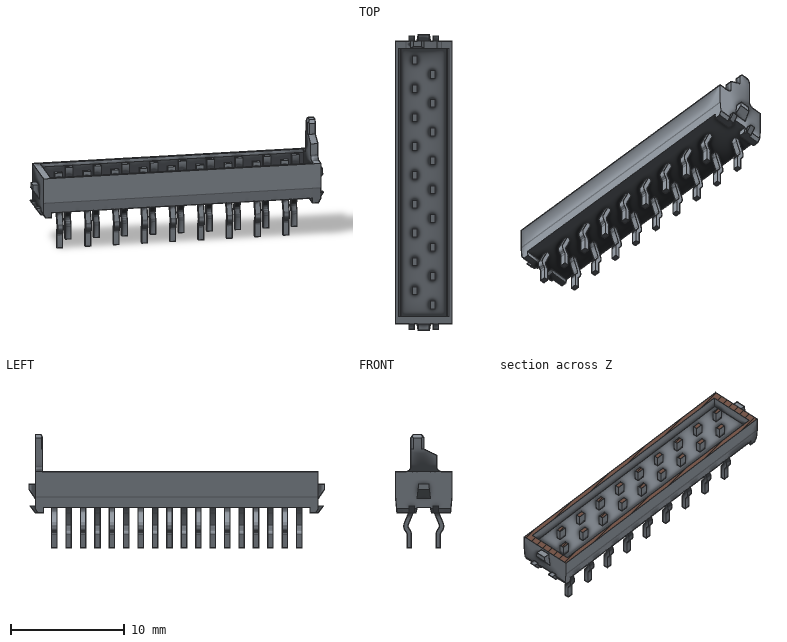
import cadquery as cq


overall_length = 26.05
body_width = 5.0
body_length = 24.92
body_height = 3.65
half_width = body_width / 2
half_length = body_length / 2
draft_height = 1.4
draft_inset = 0.13
end_wall = 0.65
end_bevel_height = 0.4
end_bevel_depth = 0.2

floor_height = 1.8
floor_width = 4.0
cavity_width = 4.22
cavity_length = body_length - 2 * end_wall
rim_bevel_width = 0.13
rim_bevel_height = 0.25

foot_height = 0.47
foot_length = 0.73
foot_gap_top = 1.15
foot_gap_bottom = 1.35

latch_reach = (overall_length - body_length) / 2
latch_top = 2.53
latch_nose = 2.05
latch_bottom = 1.25
latch_top_width = 0.89
latch_bottom_width = 1.2
barb_reach = 0.47
barb_top = 0.62
barb_width = 0.5
barb_x = 1.07

tower_top = 6.93
tower_half_width = 1.15
tower_finger_right = 0.03
shoulder_inner_height = 5.62
shoulder_outer_height = 5.08
tower_root_radius = 0.42
tip_chamfer_height = 0.3
tip_chamfer_width = 0.23
tip_chamfer_depth = 0.15
corner_chamfer_depth = 0.1

contact_count = 18
contact_span = 21.6
contact_pitch = contact_span / (contact_count - 1)
contact_thickness = 0.4
post_x = 0.78
post_width = 0.68
post_top = body_height
tail_width = 0.5
tail_root_z = 1.28
tail_end_z = -3.07
tail_root_radius = 1.3
tail_knee_radius = 0.52
tail_path = [
    (1.02, tail_root_z),
    (1.02, 0.3),
    (1.65, -1.22),
    (1.28, -1.75),
    (1.28, tail_end_z),
]


def prism_along_y(points, y_start, y_end):
    """Extrude an X-Z outline from y_start to y_end."""
    plane = cq.Workplane("XZ", origin=(0, y_start, 0))
    return plane.polyline(points).close().extrude(y_start - y_end)


def prism_along_x(points, width, x_centre=0):
    """Extrude a Y-Z outline symmetrically about x_centre."""
    plane = cq.Workplane("YZ", origin=(x_centre, 0, 0))
    return plane.polyline(points).close().extrude(width / 2, both=True)


def make_housing():
    cross_section = [
        (-half_width, body_height),
        (-half_width, draft_height),
        (-half_width + draft_inset, 0),
        (half_width - draft_inset, 0),
        (half_width, draft_height),
        (half_width, body_height),
    ]
    housing = prism_along_y(cross_section, -half_length, half_length)

    side_outline = [
        (-half_length, body_height),
        (-half_length, end_bevel_height),
        (-half_length + end_bevel_depth, 0),
        (half_length - end_bevel_depth, 0),
        (half_length, end_bevel_height),
        (half_length, body_height),
    ]
    housing = housing.intersect(prism_along_x(side_outline, body_width))

    half_floor = floor_width / 2
    half_cavity = cavity_width / 2
    half_rim = half_cavity + rim_bevel_width
    bevel_start = body_height - rim_bevel_height
    cavity_section = [
        (-half_floor, floor_height),
        (-half_cavity, bevel_start),
        (-half_rim, body_height),
        (half_rim, body_height),
        (half_cavity, bevel_start),
        (half_floor, floor_height),
    ]
    housing = housing.cut(prism_along_y(cavity_section, -cavity_length / 2, cavity_length / 2))

    relief_length = body_length - 2 * foot_length
    relief = cq.Workplane("XY").box(body_width, relief_length, foot_height, centered=(True, True, False))
    foot_gap = [
        (-foot_gap_bottom / 2, 0),
        (-foot_gap_top / 2, foot_height),
        (foot_gap_top / 2, foot_height),
        (foot_gap_bottom / 2, 0),
    ]
    return housing.cut(relief).cut(prism_along_y(foot_gap, -half_length, half_length))


def make_tower():
    left = -tower_half_width
    right = tower_half_width
    root = tower_root_radius
    inner_face = half_length - end_wall
    tower = (
        cq.Workplane("XZ", origin=(0, half_length, 0))
        .moveTo(left - root, body_height)
        .radiusArc((left, body_height + root), -root)
        .lineTo(left, tower_top - tip_chamfer_height)
        .lineTo(left + tip_chamfer_width, tower_top)
        .lineTo(tower_finger_right - tip_chamfer_width, tower_top)
        .lineTo(tower_finger_right, tower_top - tip_chamfer_height)
        .lineTo(tower_finger_right, shoulder_inner_height)
        .lineTo(right, shoulder_outer_height)
        .lineTo(right, body_height + root)
        .radiusArc((right + root, body_height), -root)
        .lineTo(right + root, floor_height)
        .lineTo(left - root, floor_height)
        .close()
        .extrude(end_wall)
    )

    tip_slope = [
        (inner_face, tower_top - tip_chamfer_height),
        (inner_face, tower_top),
        (inner_face + tip_chamfer_depth, tower_top),
    ]
    tower = tower.cut(prism_along_x(tip_slope, body_width))

    for edge_x, inward in ((left, 1), (tower_finger_right, -1)):
        corner = (
            cq.Workplane("XY", origin=(0, 0, shoulder_inner_height))
            .moveTo(edge_x, inner_face)
            .lineTo(edge_x + inward * tip_chamfer_width, inner_face)
            .lineTo(edge_x, inner_face + corner_chamfer_depth)
            .close()
            .extrude(tower_top - shoulder_inner_height)
        )
        tower = tower.cut(corner)
    return tower


def make_end_fittings():
    """Latch and two barbs for the -Y end face."""
    face = -half_length
    wedge_side = [
        (face + end_wall, latch_top),
        (face - latch_reach, latch_top),
        (face - latch_reach, latch_nose),
        (face, latch_bottom),
        (face + end_wall, latch_bottom),
    ]
    wedge_front = [
        (-latch_top_width / 2, latch_top),
        (latch_top_width / 2, latch_top),
        (latch_bottom_width / 2, latch_bottom),
        (-latch_bottom_width / 2, latch_bottom),
    ]
    fittings = prism_along_x(wedge_side, body_width).intersect(
        prism_along_y(wedge_front, face - latch_reach, face + end_wall)
    )
    barb_side = [
        (face + end_bevel_depth, barb_top),
        (face - barb_reach, barb_top),
        (face, 0),
        (face + end_bevel_depth, 0),
    ]
    for side in (-1, 1):
        fittings = fittings.add(prism_along_x(barb_side, barb_width, side * barb_x))
    return fittings.combine()


def make_contact():
    """Contact of the +X row, at Y = 0: a straight post above and a kinked tail below."""
    post = cq.Workplane("XY", origin=(post_x, 0, tail_root_z)).box(
        contact_thickness, post_width, post_top - tail_root_z, centered=(True, True, False)
    )
    path_points = [cq.Vector(x, 0, z) for x, z in tail_path]
    path = cq.Wire.makePolygon(path_points)
    root_corner = [v for v in path.Vertices() if v.Center() == path_points[1]]
    path = path.fillet(tail_root_radius, root_corner)
    knee_corners = [v for v in path.Vertices() if v.Center() in path_points[2:4]]
    path = path.fillet(tail_knee_radius, knee_corners)
    tail = (
        cq.Workplane("XY", origin=(tail_path[0][0], 0, tail_root_z))
        .rect(contact_thickness, tail_width)
        .sweep(cq.Workplane(obj=path))
    )
    return post.union(tail)


result = make_housing().union(make_tower())

end_fittings = make_end_fittings()
result = result.union(end_fittings).union(end_fittings.mirror("XZ"))

right_contact = make_contact()
left_contact = right_contact.mirror("YZ")
for index in range(contact_count):
    contact = left_contact if index % 2 == 0 else right_contact
    result = result.union(contact.translate((0, contact_span / 2 - index * contact_pitch, 0)))